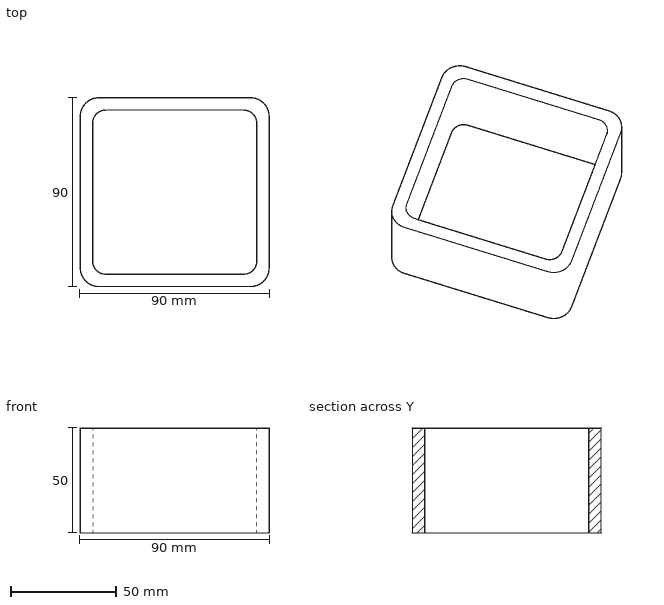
import cadquery as cq

side = 90.0
height = 50.0
wall = 6.0
outer_radius = 9.0
inner_radius = 6.0

bore_side = side - 2 * wall


def rounded_square_bar(width, corner_radius):
    """Upright square bar with rounded vertical edges, standing on Z = 0."""
    return (
        cq.Workplane("XY")
        .rect(width, width)
        .extrude(height)
        .edges("|Z")
        .fillet(corner_radius)
    )


outer_body = rounded_square_bar(side, outer_radius)
bore = rounded_square_bar(bore_side, inner_radius)

result = outer_body.cut(bore)